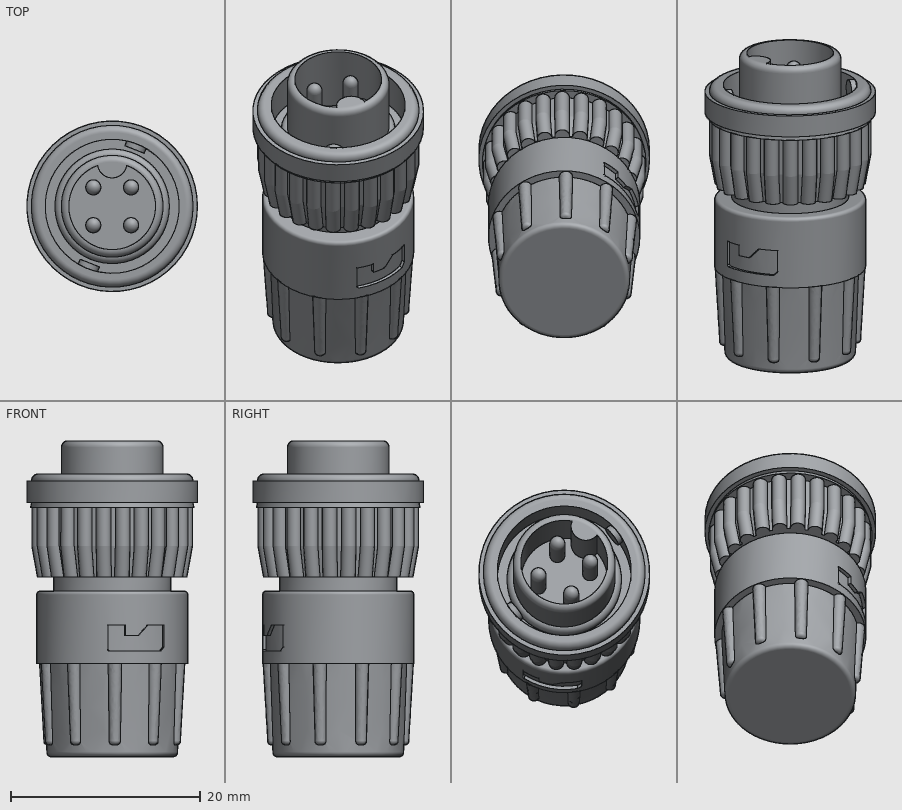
import cadquery as cq
rib_bottom_z = 1.78
sleeve_bottom_z = 9.86
sleeve_top_z = 17.52
knurl_bottom_z = 19.0
knurl_bend_z = 22.27
knurl_top_z = 26.35
flange_bottom_z = 26.85
flange_top_z = 29.15
collar_top_z = 29.9
total_height = 33.4

core_bottom_radius = 6.9
core_top_radius = 7.25
core_edge_fillet = 0.5
sleeve_radius = 8.0
sleeve_fillet = 0.4
neck_radius = 6.2

rib_count = 10
rib_offset_angle = 2.3
rib_bottom_radius = 0.6
rib_top_radius = 0.72
rib_end_length = 0.52
rib_end_fillet = 0.4
rib_bottom_axis = 6.88
rib_top_axis = 7.23

latch_angle = 20.0
latch_half_width = 3.15
latch_bottom_z = 11.16
latch_top_z = 13.94
latch_step_z = 12.8
latch_step_left = -1.35
latch_step_right = 0.0
latch_left_corner = 0.17
latch_right_corner = 0.45
latch_depth = 0.36

flange_radius = 9.02
collar_radius = 8.55
collar_bore_radius = 7.08
collar_fillet = collar_top_z - flange_top_z
knurl_lip_radius = 8.65
lobe_count = 24
lobe_offset_angle = 8.2
lobe_radius = 0.78
knurl_bottom_radius = 7.95
lobe_axis_top = collar_radius - lobe_radius
lobe_axis_bottom = knurl_bottom_radius - lobe_radius

bayonet_angle = 21.5
bayonet_radius = 1.1
bayonet_z = 28.75
bayonet_tip_radius = 6.45

floor_z = 26.05
shell_radius = 5.38
shell_bore_radius = 4.58
shell_fillet = 0.7
shoulder_radius = 6.05
shoulder_fillet = shoulder_radius - shell_radius
shoulder_straight = 0.3
key_radius = 1.55
key_centre_y = 4.55
contact_offset = 2.0
contact_radius = 0.8
contact_dome_z = 30.8


def disc(radius, bottom, top):
    """Cylinder on the part axis between two heights."""
    return cq.Workplane("XY").workplane(offset=bottom).circle(radius).extrude(top - bottom)


def frustum(bottom_radius, top_radius, bottom, top):
    """Cone frustum on the part axis between two heights."""
    outline = [(0, bottom), (bottom_radius, bottom), (top_radius, top), (0, top)]
    return cq.Workplane("XZ").polyline(outline).close().revolve(360, (0, 0), (0, 1))


def slanted_rod(low, high):
    """Rod on the -Y side; each end is (axis distance, rod radius, height)."""
    low_axis, low_radius, low_z = low
    high_axis, high_radius, high_z = high
    rod = cq.Workplane("XY", origin=(0, -low_axis, low_z)).circle(low_radius)
    rod = rod.workplane(offset=high_z - low_z).center(0, low_axis - high_axis)
    return rod.circle(high_radius).loft(ruled=True)


def add_ring(body, feature, count, first_angle):
    """Fuse evenly spaced copies of a feature around the part axis."""
    for index in range(count):
        angle = first_angle + index * 360.0 / count
        body = body.union(feature.rotate((0, 0, 0), (0, 0, 1), angle))
    return body


def make_grip():
    """Tapered core with ribs below the sleeve."""
    core = frustum(core_bottom_radius, core_top_radius, 0, sleeve_bottom_z)
    core = core.faces("<Z").edges().fillet(core_edge_fillet)
    rib = slanted_rod(
        (rib_bottom_axis, rib_bottom_radius, rib_bottom_z),
        (rib_top_axis, rib_top_radius, sleeve_bottom_z),
    )
    rib_end = cq.Workplane("XY", origin=(0, -rib_bottom_axis, rib_bottom_z))
    rib_end = rib_end.circle(rib_bottom_radius).extrude(-rib_end_length)
    rib_end = rib_end.faces("<Z").edges().fillet(rib_end_fillet)
    grip = add_ring(core, rib, rib_count, rib_offset_angle)
    return add_ring(grip, rib_end, rib_count, rib_offset_angle)


def make_latch_recess():
    """Notched window, of even depth, on the -Y side of the sleeve."""
    step_rise = latch_top_z - latch_step_z
    prism = (
        cq.Workplane("XZ")
        .moveTo(-latch_half_width, latch_bottom_z + latch_left_corner)
        .lineTo(latch_left_corner - latch_half_width, latch_bottom_z)
        .lineTo(latch_half_width - latch_right_corner, latch_bottom_z)
        .lineTo(latch_half_width, latch_bottom_z + latch_right_corner)
        .lineTo(latch_half_width, latch_top_z)
        .lineTo(latch_step_right + step_rise, latch_top_z)
        .lineTo(latch_step_right, latch_step_z)
        .lineTo(latch_step_left, latch_step_z)
        .lineTo(latch_step_left, latch_top_z)
        .lineTo(-latch_half_width, latch_top_z)
        .close()
        .extrude(sleeve_radius + latch_depth)
    )
    return prism.cut(disc(sleeve_radius - latch_depth, sleeve_bottom_z, sleeve_top_z))


def make_sleeve():
    """Plain sleeve with two opposite latch recesses, and the neck above it."""
    sleeve = disc(sleeve_radius, sleeve_bottom_z, sleeve_top_z)
    sleeve = sleeve.faces(">Z").edges().fillet(sleeve_fillet)
    for angle in (latch_angle, latch_angle + 180):
        sleeve = sleeve.cut(make_latch_recess().rotate((0, 0, 0), (0, 0, 1), angle))
    return sleeve.union(disc(neck_radius, sleeve_top_z, knurl_bottom_z))


def make_knurl():
    """Grip of rounded lobes that slope inward towards the neck."""
    knurl = frustum(lobe_axis_bottom, lobe_axis_top, knurl_bottom_z, knurl_bend_z)
    knurl = knurl.union(disc(lobe_axis_top, knurl_bend_z, knurl_top_z))
    bend = (lobe_axis_top, lobe_radius, knurl_bend_z)
    sloped = slanted_rod((lobe_axis_bottom, lobe_radius, knurl_bottom_z), bend)
    straight = slanted_rod(bend, (lobe_axis_top, lobe_radius, knurl_top_z))
    return add_ring(knurl, sloped.union(straight), lobe_count, lobe_offset_angle)


def make_bayonet_pin():
    """Radial pin reaching from the collar wall into the gap on the -Y side."""
    wall_middle = (collar_bore_radius + collar_radius) / 2
    pin = cq.Workplane("XZ", origin=(0, -bayonet_tip_radius, bayonet_z))
    return pin.circle(bayonet_radius).extrude(wall_middle - bayonet_tip_radius)


def make_collar():
    """Knurled coupling collar with a flange, an open bore and two bayonet pins."""
    collar = frustum(knurl_lip_radius, collar_radius, knurl_top_z, flange_bottom_z)
    collar = collar.union(disc(flange_radius, flange_bottom_z, flange_top_z))
    rim = disc(collar_radius, flange_bottom_z, collar_top_z).faces(">Z").edges().fillet(collar_fillet)
    collar = make_knurl().union(collar).union(rim)
    collar = collar.cut(disc(collar_bore_radius, floor_z, collar_top_z))
    return add_ring(collar, make_bayonet_pin(), 2, -bayonet_angle)


def make_plug():
    """Keyed plug shell on a rounded shoulder, with four round-tipped contacts."""
    shoulder_top = floor_z + shoulder_straight + shoulder_fillet
    shoulder = disc(shoulder_radius, floor_z, shoulder_top)
    shell = disc(shell_radius, floor_z, total_height).faces(">Z").edges().fillet(shell_fillet)
    shoulder = shoulder.faces(">Z").edges().fillet(shoulder_fillet)
    cavity = disc(shell_bore_radius, floor_z, total_height)
    plug = shoulder.union(shell).cut(cavity)

    key = cq.Workplane("XY", origin=(0, key_centre_y, floor_z)).circle(key_radius)
    key = key.extrude(total_height - floor_z)
    plug = plug.union(key.intersect(cavity))

    dome = cq.Workplane("XY", origin=(0, 0, contact_dome_z)).sphere(contact_radius)
    contact = disc(contact_radius, floor_z, contact_dome_z).union(dome)
    for x in (-contact_offset, contact_offset):
        for y in (-contact_offset, contact_offset):
            plug = plug.union(contact.translate((x, y, 0)))
    return plug


result = make_grip().union(make_sleeve()).union(make_collar()).union(make_plug())